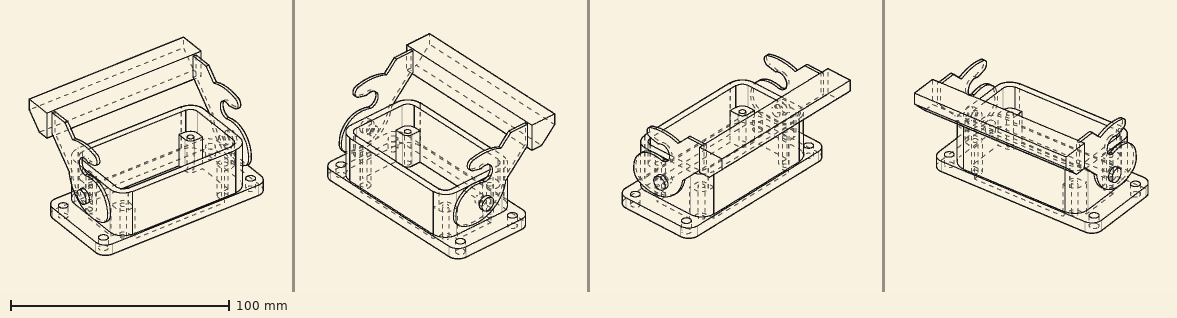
import cadquery as cq

base_length_x = 45.0
base_length_y = 93.0
base_height = 5.8
base_corner_radius = 5.5
mount_hole_diameter = 4.5
mount_hole_x = 15.9
mount_hole_y = 41.4

housing_top = 29.6
corner_centre_x = 14.0
corner_centre_y = 29.0
outer_corner_radius = 7.4
wall_thickness = 3.5
inner_corner_radius = outer_corner_radius - wall_thickness
side_wall_step = 0.25

post_edge_x = 10.15
post_edge_y = 25.25
post_corner_radius = 3.0
post_top = 17.5
post_hole_diameter = 3.1
post_hole_x = 13.5
post_hole_y = 28.5

bar_left = -40.0
bar_size = 14.0
bar_right = bar_left + bar_size
bar_top = 52.3
bar_bottom = bar_top - bar_size
bar_chamfer = 8.0
bar_length_y = 86.8
arm_inner_y = 38.85
arm_thickness = 1.6
arm_outer_y = arm_inner_y + arm_thickness
arm_top = 51.4

pivot_z = 19.7
pin_shaft_diameter = 5.1
pin_head_diameter = 7.1
pin_head_end_y = 42.4
pin_root_y = corner_centre_y + outer_corner_radius - wall_thickness / 2

slot_above_pivot = 16.0
slot_centre_z = pivot_z + slot_above_pivot
slot_radius = 4.55

neck_top_corner = (-15.8, arm_top)
finger_root = (-9.8, 45.4)
finger_tip_upper = (7.3, 46.3)
finger_tip_lower = (7.3, 40.6)
slot_lip = (2.5, 39.5)
slot_ceiling = (0, slot_centre_z + slot_radius)
slot_back = (-slot_radius, slot_centre_z)
slot_floor = (0, slot_centre_z - slot_radius)
lobe_crest = (5.3, 32.0)
lobe_right = (17.8, 19.7)
lobe_lower_right = (15.5, 13.6)
neck_lower_corner = (-12.7, 26.1)
neck_at_bar = (bar_right, 39.5)

finger_back_crest = (-0.4, 47.3)
finger_tip = (9.5, 43.5)
slot_lip_bend = (1.6, 39.9)
lobe_rise_bend = (2.7, 31.8)
lobe_shoulder = (13.9, 28.8)
lobe_corner_bend = (17.2, 15.8)
lobe_bottom = (5.6, 10.55)


def rounded_prism(radius, side_step, height):
    """Upright prism with rounded corners whose long sides stand out by side_step."""
    rounded = (
        cq.Workplane("XY")
        .rect(2 * (corner_centre_x + radius), 2 * (corner_centre_y + radius))
        .extrude(height)
        .edges("|Z")
        .fillet(radius)
    )
    sides = (
        cq.Workplane("XY")
        .rect(2 * (corner_centre_x + radius + side_step), 2 * corner_centre_y)
        .extrude(height)
    )
    return rounded.union(sides)


def make_posts(cavity):
    """Corner posts, trimmed to the cavity, with the corner facing the middle rounded."""
    posts = None
    block_x = corner_centre_x + outer_corner_radius - post_edge_x
    block_y = corner_centre_y + outer_corner_radius - post_edge_y
    for side_x in (-1, 1):
        for side_y in (-1, 1):
            block = (
                cq.Workplane("XY")
                .center(side_x * (post_edge_x + block_x / 2), side_y * (post_edge_y + block_y / 2))
                .rect(block_x, block_y)
                .extrude(post_top)
                .edges("|Z")
                .edges("<X" if side_x > 0 else ">X")
                .edges("<Y" if side_y > 0 else ">Y")
                .fillet(post_corner_radius)
            )
            posts = block if posts is None else posts.union(block)
    return posts.intersect(cavity)


def make_housing():
    """Flange and open housing with its corner posts and screw holes."""
    base = (
        cq.Workplane("XY")
        .rect(base_length_x, base_length_y)
        .extrude(base_height)
        .edges("|Z")
        .fillet(base_corner_radius)
    )
    mount_holes = (
        cq.Workplane("XY")
        .rect(2 * mount_hole_x, 2 * mount_hole_y, forConstruction=True)
        .vertices()
        .circle(mount_hole_diameter / 2)
        .extrude(base_height)
    )
    post_holes = (
        cq.Workplane("XY")
        .rect(2 * post_hole_x, 2 * post_hole_y, forConstruction=True)
        .vertices()
        .circle(post_hole_diameter / 2)
        .extrude(post_top)
    )
    walls = rounded_prism(outer_corner_radius, side_wall_step, housing_top)
    cavity = rounded_prism(inner_corner_radius, side_wall_step, housing_top)
    shell = base.cut(mount_holes).union(walls).cut(cavity)
    return shell.union(make_posts(cavity).cut(post_holes))


def make_bar():
    """Grip bar with its lower outer edge chamfered."""
    return (
        cq.Workplane("XZ")
        .moveTo(bar_left, bar_top)
        .lineTo(bar_right, bar_top)
        .lineTo(bar_right, bar_bottom)
        .lineTo(bar_left + bar_chamfer, bar_bottom)
        .lineTo(bar_left, bar_bottom + bar_chamfer)
        .close()
        .extrude(bar_length_y / 2, both=True)
    )


def make_arm():
    """Flat arm on the -Y side with a hook finger above a rounded pivot lobe."""
    return (
        cq.Workplane("XZ", origin=(0, -arm_inner_y, 0))
        .moveTo(bar_right, arm_top)
        .lineTo(*neck_top_corner)
        .lineTo(*finger_root)
        .threePointArc(finger_back_crest, finger_tip_upper)
        .threePointArc(finger_tip, finger_tip_lower)
        .lineTo(*slot_lip)
        .threePointArc(slot_lip_bend, slot_ceiling)
        .threePointArc(slot_back, slot_floor)
        .threePointArc(lobe_rise_bend, lobe_crest)
        .threePointArc(lobe_shoulder, lobe_right)
        .threePointArc(lobe_corner_bend, lobe_lower_right)
        .threePointArc(lobe_bottom, neck_lower_corner)
        .lineTo(*neck_at_bar)
        .close()
        .extrude(arm_thickness)
    )


def make_pin():
    """Stepped pivot pin on the -Y side, rooted in the end wall."""
    shaft = (
        cq.Workplane("XZ", origin=(0, -pin_root_y, pivot_z))
        .circle(pin_shaft_diameter / 2)
        .extrude(arm_outer_y - pin_root_y)
    )
    head = (
        cq.Workplane("XZ", origin=(0, -arm_outer_y, pivot_z))
        .circle(pin_head_diameter / 2)
        .extrude(pin_head_end_y - arm_outer_y)
    )
    return shaft.union(head)


lever_end = make_arm().union(make_pin())
result = (
    make_housing()
    .union(make_bar())
    .union(lever_end)
    .union(lever_end.mirror("XZ"))
)